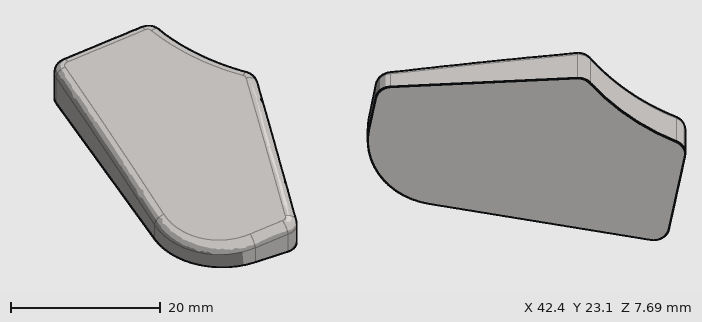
import cadquery as cq
import math

length = 42.4
right_back_y = 16.6
peak_x, peak_y = 15.4, 23.28
left_back_y = 15.4
hollow_depth = 1.2
nose_radius = 10.1
corner_radius = 2.1

front_left_height = 6.1
cross_slope = 0.11
start_slope = 0.034
crown_radius = 542.7
rim_radius = 1.5
base_chamfer = 0.1

margin = 4.25


def make_blank():
    """Upright block with the plan outline and rounded vertical edges."""
    chord = math.hypot(peak_x, peak_y - left_back_y)
    hollow_mid = (
        peak_x / 2 + hollow_depth * (peak_y - left_back_y) / chord,
        (left_back_y + peak_y) / 2 - hollow_depth * peak_x / chord,
    )
    nose_start = length - nose_radius
    nose_reach = nose_radius * math.sqrt(0.5)
    nose_mid = (nose_start + nose_reach, nose_radius - nose_reach)
    block = (
        cq.Workplane("XY")
        .lineTo(nose_start, 0)
        .threePointArc(nose_mid, (length, nose_radius))
        .lineTo(length, right_back_y)
        .lineTo(peak_x, peak_y)
        .threePointArc(hollow_mid, (0, left_back_y))
        .close()
        .extrude(front_left_height + margin)
    )
    sharp_corners = [(0, 0), (0, left_back_y), (peak_x, peak_y), (length, right_back_y)]
    for x, y in sharp_corners:
        corner_edge = cq.selectors.NearestToPointSelector((x, y, (front_left_height + margin) / 2))
        block = block.edges("|Z").edges(corner_edge).fillet(corner_radius)
    return block


def make_top_cutter():
    """Body above the crowned top: an arc in XZ swept along the cross slope."""
    start_angle = math.atan(start_slope)
    center_x = -crown_radius * math.sin(start_angle)
    center_z = front_left_height - crown_radius * math.cos(start_angle)

    def crown_point(x):
        return (x, center_z + math.sqrt(crown_radius**2 - (x - center_x) ** 2))

    start_x, end_x = -margin, length + margin
    ceiling = front_left_height + 2 * margin
    sweep_y = peak_y + 2 * margin
    profile = (
        cq.Workplane("XZ")
        .moveTo(*crown_point(start_x))
        .threePointArc(crown_point(length / 2), crown_point(end_x))
        .lineTo(end_x, ceiling)
        .lineTo(start_x, ceiling)
        .close()
    )
    face = cq.Face.makeFromWires(profile.val())
    sweep = cq.Vector(0, sweep_y, cross_slope * sweep_y)
    body = cq.Solid.extrudeLinear(face, sweep)
    return body.translate(cq.Vector(0, -margin, -cross_slope * margin))


part = make_blank().cut(cq.Workplane(make_top_cutter()))

part = part.faces(">Z").edges().fillet(rim_radius)

result = part.faces("<Z").chamfer(base_chamfer)